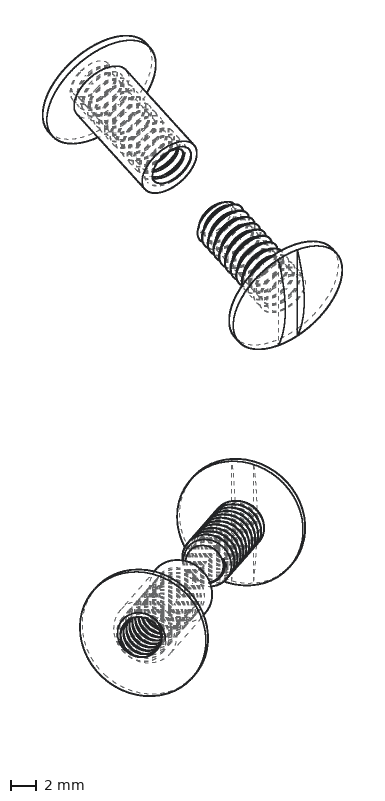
import cadquery as cq
import math

head_diameter = 10.33
head_radius = head_diameter / 2
rim_thickness = 0.6
dome_height = 1.0
shank_length = 9.5

barrel_apex_x = -0.09
barrel_radius = 2.6

screw_apex_x = 28.48
slot_width = 1.8
tip_radius = 1.55

ten_turn_length = 7.95
pitch = ten_turn_length / 10
major_radius = 2.08
minor_radius = 1.62
crest_width = pitch / 8
root_width = pitch / 4
ridge_sink = 0.03
rod_length = 14.22
core_start = 0.57
thread_lead_turns = 3
envelope_margin = 0.15
bore_crest_x = -0.17
screw_crest_x = 18.2


def head(apex_x, inward):
    """Domed disc whose flat face looks along `inward` (+1 or -1 on X)."""
    rim_x = apex_x + inward * dome_height
    under_x = rim_x + inward * rim_thickness
    dome_radius = (head_radius**2 + dome_height**2) / (2 * dome_height)
    mid_radius = head_radius / 2
    mid_sag = dome_radius - math.sqrt(dome_radius**2 - mid_radius**2)
    return (
        cq.Workplane("XY")
        .moveTo(apex_x, 0)
        .threePointArc((apex_x + inward * mid_sag, mid_radius), (rim_x, head_radius))
        .lineTo(under_x, head_radius)
        .lineTo(under_x, 0)
        .close()
        .revolve(360, (0, 0, 0), (1, 0, 0))
    )


def rod(start_x, length, radius):
    """Cylinder along +X."""
    return cq.Workplane("YZ", origin=(start_x, 0, 0)).circle(radius).extrude(length)


def make_threaded_rod():
    """Long right-handed threaded rod along +X; its ridge starts at X = 0 on the +Y side."""
    base_radius = minor_radius - ridge_sink
    flank_spread = (pitch - root_width - crest_width) / (major_radius - minor_radius)
    base_width = pitch - root_width + flank_spread * ridge_sink
    helix = cq.Wire.makeHelix(pitch, rod_length, minor_radius)
    ridge = (
        cq.Workplane("XZ")
        .polyline([
            (base_radius, -base_width / 2),
            (major_radius, -crest_width / 2),
            (major_radius, crest_width / 2),
            (base_radius, base_width / 2),
        ])
        .close()
        .sweep(cq.Workplane(obj=helix), isFrenet=True)
    )
    along_x = ridge.rotate((0, 0, 0), (1, 1, 1), 120)
    core = rod(core_start, rod_length - 2 * core_start, minor_radius)
    return core.union(along_x)


def make_barrel(threaded_rod):
    """Headed sleeve with a thread cut right through it."""
    under_x = barrel_apex_x + dome_height + rim_thickness
    end_x = under_x + shank_length
    blank = head(barrel_apex_x, 1).union(rod(under_x, shank_length, barrel_radius))
    bore = threaded_rod.translate((bore_crest_x - thread_lead_turns * pitch, 0, 0))
    return blank.cut(bore)


def make_screw(threaded_rod):
    """Threaded shank with a chamfered tip and a slotted head."""
    under_x = screw_apex_x - dome_height - rim_thickness
    tip_x = under_x - shank_length
    envelope_radius = major_radius + envelope_margin
    envelope = rod(tip_x, shank_length, envelope_radius)
    envelope = envelope.faces("<X").chamfer(envelope_radius - tip_radius)
    thread = threaded_rod.translate((screw_crest_x - thread_lead_turns * pitch, 0, 0))
    shank = thread.intersect(envelope)
    slot = cq.Workplane("XY").box(
        dome_height, slot_width, 2 * head_radius, centered=(False, True, True)
    ).translate((screw_apex_x - dome_height, 0, 0))
    return shank.union(head(screw_apex_x, -1)).cut(slot)


threaded_rod = make_threaded_rod()
barrel = make_barrel(threaded_rod)
screw = make_screw(threaded_rod)
result = cq.Compound.makeCompound([barrel.solids().val(), screw.solids().val()])